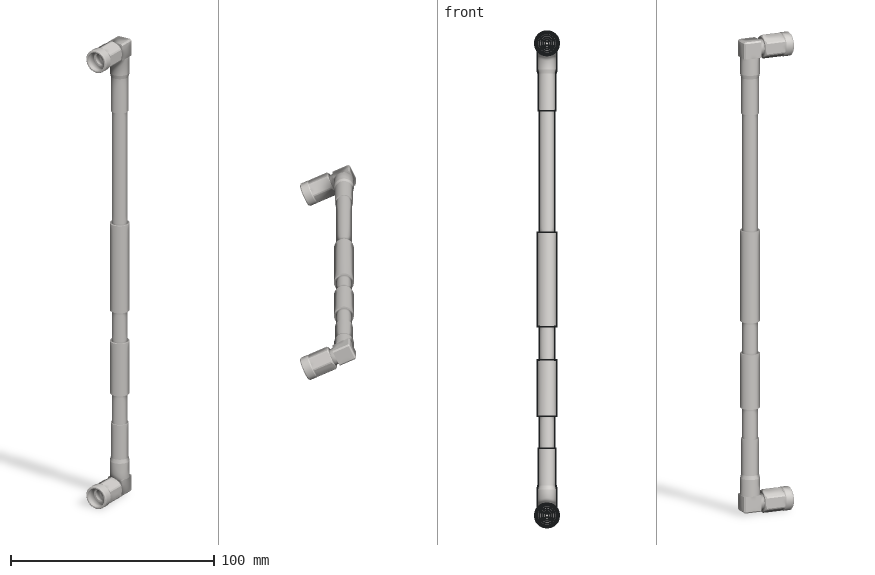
import cadquery as cq

TOTAL_HEIGHT = 244.5
COLLAR_DIAMETER = 12.0
PLUG_AXIS_Z = (TOTAL_HEIGHT - COLLAR_DIAMETER) / 2

CABLE_DIAMETER = 7.8
SLEEVE_DIAMETER = 9.8
SLEEVES = [(0.0, 46.5), (-53.5, 27.9)]

BOOT_DIAMETER = 8.8
BOOT_END = 39.0
FERRULE_DIAMETER = 9.8
FERRULE_END = 20.8
FERRULE_BEVEL_LENGTH = 2.0
FERRULE_BEVEL_DEPTH = 0.5

BLOCK_WIDTH = 8.5
BLOCK_BACK = FERRULE_DIAMETER / 2
BLOCK_FRONT = -4.2
BLOCK_CHAMFER = 0.7

PLUG_FRONT = -21.3
NUT_BACK = -6.0
NUT_ACROSS_FLATS = 10.8
NUT_CHAMFER = 0.7
COLLAR_BACK = -16.6
COLLAR_CHAMFER = 0.5
NECK_DIAMETER = 8.3
BORE_DIAMETER = 9.8
BORE_DEPTH = 11.0
SOCKET_DIAMETER = 7.8
SOCKET_BORE = 5.9
SOCKET_LENGTH = 6.8
INSULATOR_DIAMETER = 4.0
INSULATOR_LENGTH = 3.7
PIN_DIAMETER = 2.0
PIN_LENGTH = 5.9


def cylinder_z(diameter, bottom, top):
    return cq.Workplane("XY", origin=(0, 0, bottom)).circle(diameter / 2).extrude(top - bottom)


def cylinder_y(diameter, back, front):
    """Cylinder on the plug axis that runs toward -Y from back to front."""
    return cq.Workplane("XZ", origin=(0, back, PLUG_AXIS_Z)).circle(diameter / 2).extrude(back - front)


def make_cable():
    half_length = TOTAL_HEIGHT / 2 - BOOT_END
    return cylinder_z(CABLE_DIAMETER, -half_length, half_length)


def make_sleeve(centre, length):
    bottom = centre - length / 2
    top = centre + length / 2
    return cylinder_z(SLEEVE_DIAMETER, bottom, top).cut(cylinder_z(CABLE_DIAMETER, bottom, top))


def make_stem():
    """Boot and bevelled ferrule between the cable and the elbow block."""
    boot_bottom = TOTAL_HEIGHT / 2 - BOOT_END
    ferrule_bottom = TOTAL_HEIGHT / 2 - FERRULE_END
    block_bottom = PLUG_AXIS_Z - BLOCK_WIDTH / 2
    boot = cylinder_z(BOOT_DIAMETER, boot_bottom, ferrule_bottom)
    ferrule = (
        cylinder_z(FERRULE_DIAMETER, ferrule_bottom, block_bottom)
        .faces("<Z")
        .chamfer(FERRULE_BEVEL_LENGTH, FERRULE_BEVEL_DEPTH)
    )
    return boot.union(ferrule)


def make_block():
    """Elbow block, left sharp where it meets the ferrule and the neck."""
    length = BLOCK_BACK - BLOCK_FRONT
    return (
        cq.Workplane("XY", origin=(0, (BLOCK_BACK + BLOCK_FRONT) / 2, PLUG_AXIS_Z))
        .box(BLOCK_WIDTH, length, BLOCK_WIDTH)
        .edges("not(<Y or <Z)")
        .chamfer(BLOCK_CHAMFER)
    )


def make_plug():
    """Hexagonal coupling nut with a round collar, around a socket, its insulator and its centre pin."""
    bore_floor = PLUG_FRONT + BORE_DEPTH
    round_nut = cylinder_y(COLLAR_DIAMETER, NUT_BACK, COLLAR_BACK).faces(">Y").chamfer(NUT_CHAMFER)
    hexagon = (
        cq.Workplane("XZ", origin=(0, NUT_BACK, PLUG_AXIS_Z))
        .polygon(6, NUT_ACROSS_FLATS, circumscribed=True)
        .extrude(NUT_BACK - COLLAR_BACK)
    )
    collar = cylinder_y(COLLAR_DIAMETER, COLLAR_BACK, PLUG_FRONT).faces("|Y").chamfer(COLLAR_CHAMFER)
    nut = round_nut.intersect(hexagon).union(collar).cut(cylinder_y(BORE_DIAMETER, bore_floor, PLUG_FRONT))
    socket = cylinder_y(SOCKET_DIAMETER, bore_floor, bore_floor - SOCKET_LENGTH)
    socket = socket.cut(cylinder_y(SOCKET_BORE, bore_floor, bore_floor - SOCKET_LENGTH))
    insulator = cylinder_y(INSULATOR_DIAMETER, bore_floor, bore_floor - INSULATOR_LENGTH)
    pin = cylinder_y(PIN_DIAMETER, bore_floor, bore_floor - PIN_LENGTH)
    neck = cylinder_y(NECK_DIAMETER, BLOCK_FRONT, NUT_BACK)
    return nut.union(socket).union(insulator).union(pin).union(neck)


def make_connector():
    return make_stem().union(make_block()).union(make_plug())


cable = make_cable()
sleeves = [make_sleeve(centre, length) for centre, length in SLEEVES]
upper_connector = make_connector()
lower_connector = upper_connector.mirror("XY")

result = cq.Compound.makeCompound(
    [
        cable.val(),
        *[sleeve.val() for sleeve in sleeves],
        upper_connector.val(),
        lower_connector.val(),
    ]
)